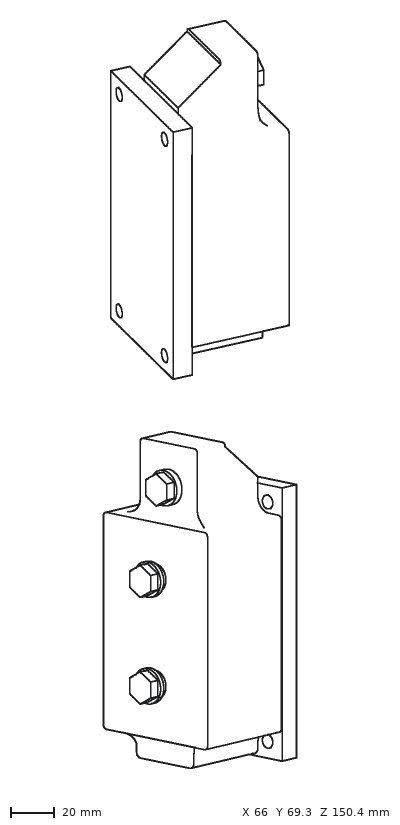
import cadquery as cq
import math


PLATE_WIDTH = 66.0
PLATE_THICKNESS = 9.8
PLATE_HEIGHT = 128.0
HOLE_DIAMETER = 6.5
HOLE_SPACING_X = 48.0
HOLE_EDGE_Z = 8.0

HOUSING_WIDTH = 65.1
HOUSING_FRONT = 59.1
HOUSING_BOTTOM = 13.2
HOUSING_TOP = 114.9
EDGE_RADIUS = 2.0

HEAD_WIDTH = 35.8
SIDE_FLARE = 6.9

UPPER_TOP = 150.4
UPPER_FRONT = 50.2
UPPER_FRONT_FLARE = 2.4
SLOPE_TOP_Y = 31.5
SLOPE_TOP_Z = UPPER_TOP - EDGE_RADIUS
SLOPE_BOTTOM_Z = 131.0

LOWER_BOTTOM = 1.0
LOWER_FRONT = 52.6
LOWER_FRONT_FLARE = HOUSING_FRONT - LOWER_FRONT
LOWER_EDGE_RADIUS = 2.5

HEX_FLATS = 13.1
HEX_CORNERS = HEX_FLATS / math.cos(math.radians(30))
WASHER_DIAMETER = 16.5
UPPER_BOLT_Z = 130.1
UPPER_WASHER_THICKNESS = 3.5
UPPER_HEX_HEIGHT = 5.0
HOUSING_BOLT_HEIGHTS = (39.1, 89.0)
BOLT_FRONT = 69.3
COLLAR_DIAMETER = 13.1
COLLAR_LENGTH = 3.3
HOUSING_WASHER_THICKNESS = 2.1
HOUSING_HEX_HEIGHT = BOLT_FRONT - HOUSING_FRONT - COLLAR_LENGTH - HOUSING_WASHER_THICKNESS

OVERLAP = 1.5


def front_plane(y):
    """XZ sketch plane at the given Y whose normal points along +Y; its local x is -X."""
    return cq.Workplane(cq.Plane(origin=(0, y, 0), xDir=(-1, 0, 0), normal=(0, 1, 0)))


def concave_midpoint(center_u, center_z, radius, z_sign):
    """Middle of a flare arc, on the side of its centre that faces the head and the housing."""
    offset = radius * math.sqrt(0.5)
    return center_u - offset, center_z - z_sign * offset


def make_plate():
    plate = cq.Workplane("XY").box(
        PLATE_WIDTH, PLATE_THICKNESS, PLATE_HEIGHT, centered=(True, False, False)
    )
    holes = (
        front_plane(0)
        .center(0, PLATE_HEIGHT / 2)
        .rarray(HOLE_SPACING_X, PLATE_HEIGHT - 2 * HOLE_EDGE_Z, 2, 2)
        .circle(HOLE_DIAMETER / 2)
        .extrude(PLATE_THICKNESS)
    )
    return plate.cut(holes)


def make_housing():
    return (
        front_plane(PLATE_THICKNESS)
        .center(0, (HOUSING_BOTTOM + HOUSING_TOP) / 2)
        .rect(HOUSING_WIDTH, HOUSING_TOP - HOUSING_BOTTOM)
        .extrude(HOUSING_FRONT - PLATE_THICKNESS)
        .edges("|Y")
        .fillet(EDGE_RADIUS)
    )


def head_across(base_z, end_z, edge_radius):
    """Head outline in XZ with flared sides and rounded end corners, extruded along Y."""
    z_sign = math.copysign(1, end_z - base_z)
    half_width = HEAD_WIDTH / 2
    flare_x = half_width + SIDE_FLARE
    flare_z = base_z + z_sign * SIDE_FLARE
    root_z = base_z - z_sign * OVERLAP
    mid_x, mid_z = concave_midpoint(flare_x, flare_z, SIDE_FLARE, z_sign)
    return (
        front_plane(PLATE_THICKNESS)
        .moveTo(-flare_x, root_z)
        .lineTo(flare_x, root_z)
        .lineTo(flare_x, base_z)
        .threePointArc((mid_x, mid_z), (half_width, flare_z))
        .lineTo(half_width, end_z)
        .lineTo(-half_width, end_z)
        .lineTo(-half_width, flare_z)
        .threePointArc((-mid_x, mid_z), (-flare_x, base_z))
        .close()
        .extrude(HOUSING_FRONT - PLATE_THICKNESS)
        .edges("|Y and " + (">Z" if z_sign > 0 else "<Z"))
        .fillet(edge_radius)
    )


def head_along(base_z, end_z, front_y, flare, back_points):
    """Head outline in YZ with a flared front, extruded along X; back_points run from end to root."""
    z_sign = math.copysign(1, end_z - base_z)
    flare_y = front_y + flare
    flare_z = base_z + z_sign * flare
    root_z = base_z - z_sign * OVERLAP
    return (
        cq.Workplane("YZ")
        .moveTo(PLATE_THICKNESS, root_z)
        .lineTo(flare_y, root_z)
        .lineTo(flare_y, base_z)
        .threePointArc(concave_midpoint(flare_y, flare_z, flare, z_sign), (front_y, flare_z))
        .lineTo(front_y, end_z)
        .polyline(back_points, includeCurrent=True)
        .close()
        .extrude(HOUSING_WIDTH / 2, both=True)
    )


def make_upper_head():
    sloped_back = [
        (SLOPE_TOP_Y, UPPER_TOP),
        (SLOPE_TOP_Y, SLOPE_TOP_Z),
        (PLATE_THICKNESS, SLOPE_BOTTOM_Z),
    ]
    across = head_across(HOUSING_TOP, UPPER_TOP, EDGE_RADIUS)
    along = head_along(HOUSING_TOP, UPPER_TOP, UPPER_FRONT, UPPER_FRONT_FLARE, sloped_back)
    return across.intersect(along)


def make_lower_head():
    straight_back = [(PLATE_THICKNESS, LOWER_BOTTOM)]
    across = head_across(HOUSING_BOTTOM, LOWER_BOTTOM, LOWER_EDGE_RADIUS)
    along = head_along(HOUSING_BOTTOM, LOWER_BOTTOM, LOWER_FRONT, LOWER_FRONT_FLARE, straight_back)
    return across.intersect(along)


def make_disc(y, z, diameter, length):
    """Round disc facing +Y, starting slightly behind y."""
    return front_plane(y - OVERLAP).center(0, z).circle(diameter / 2).extrude(length + OVERLAP)


def make_hex(y, z, height):
    """Hexagonal bolt head with corners at its top and bottom."""
    hexagon = front_plane(y).polygon(6, HEX_CORNERS).extrude(height)
    return hexagon.rotate((0, 0, 0), (0, 1, 0), 90).translate((0, 0, z))


def make_upper_bolt():
    washer = make_disc(UPPER_FRONT, UPPER_BOLT_Z, WASHER_DIAMETER, UPPER_WASHER_THICKNESS)
    return washer.union(make_hex(UPPER_FRONT + UPPER_WASHER_THICKNESS, UPPER_BOLT_Z, UPPER_HEX_HEIGHT))


def make_housing_bolt(z):
    washer_y = HOUSING_FRONT + COLLAR_LENGTH
    hex_y = washer_y + HOUSING_WASHER_THICKNESS
    collar = make_disc(HOUSING_FRONT, z, COLLAR_DIAMETER, COLLAR_LENGTH)
    washer = front_plane(washer_y).center(0, z).circle(WASHER_DIAMETER / 2).extrude(HOUSING_WASHER_THICKNESS)
    return collar.union(washer).union(make_hex(hex_y, z, HOUSING_HEX_HEIGHT))


result = make_plate().union(make_housing())
result = result.union(make_upper_head()).union(make_lower_head())
result = result.union(make_upper_bolt())
for bolt_z in HOUSING_BOLT_HEIGHTS:
    result = result.union(make_housing_bolt(bolt_z))